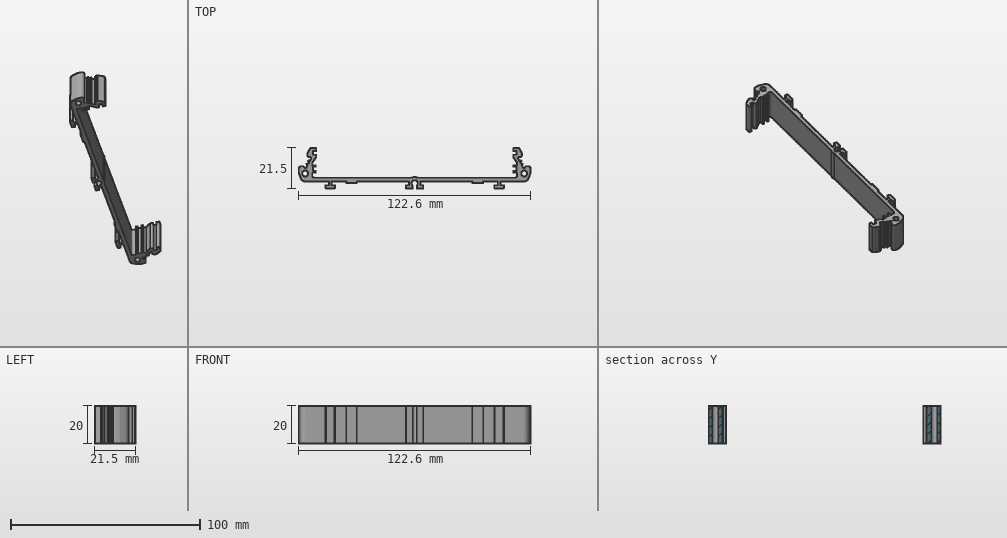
import cadquery as cq
import math

width = 122.6
depth = 21.5
length = 20.0
half_width = width / 2

web_bottom = 3.6
web_thickness = 2.2
web_top = web_bottom + web_thickness
inner_fillet = 1.0

flange_thickness = 1.75
side_rail_x = 44.6
side_rail_stem = 1.5
side_rail_flange = 5.2
side_rail_chamfer = 0.4

channel_stem = 6.2
channel_flange = 9.2
channel_chamfer = 0.2
channel_diameter = 3.2
channel_y = 2.75
channel_mouth = 2.2
crown_height = 0.35
crown_width = 2.8

pad_x = 33.3
pad_width = 5.6
pad_height = 0.7

screw_hole_diameter = 3.0
screw_hole_x = 3.45
screw_hole_y = 7.95

lean_angle = math.radians(24)
lean_bend_radius = 1.75
lean_bend_top = 8.6
corner_radius = 2.9
corner_x = 3.75

neck_x = 7.25
slot_floor_x = 7.6
finger_tip_x = 9.15
finger_thickness = 1.0
finger_bottoms = (8.4, 11.4)
neck_top = 13.6
hook_tip_x = 9.3
hook_round = 0.5
hook_underside = 16.5
hook_slot_bottom = 17.9
hook_slot_top = 19.8

hook_back = [(6.4, depth), (5.75, 20.8), (4.5, 18.4), (4.5, 17.5)]
outer_notch = [(5.1, 16.7), (5.3, 16.4), (5.9, 16.7), (6.75, 16.2), (5.9, 14.6), (5.3, 14.9)]
upper_ridge = [(4.75, 14.3), (5.4, 13.7)]
lower_ridge = [(4.9, 13.0), (4.1, 13.1), (4.5, 12.3)]
lug_valley = [(4.1, 11.1), (3.5, 10.8)]
lug_crest_x = 2.3
lug_top = 11.9
lug_radius = 1.5


def block(x_min, x_max, y_min, y_max):
    """Rectangular bar running the full length of the extrusion."""
    return (
        cq.Workplane("XY")
        .center((x_min + x_max) / 2, (y_min + y_max) / 2)
        .rect(x_max - x_min, y_max - y_min)
        .extrude(length)
    )


def cylinder(x, y, diameter):
    """Round bar running the full length of the extrusion."""
    return cq.Workplane("XY").center(x, y).circle(diameter / 2).extrude(length)


def make_web():
    """Flat web that joins the two end arms."""
    end = half_width - corner_x
    return block(-end, end, web_bottom, web_top)


def make_rail(x, stem_width, flange_width, chamfer):
    """T-shaped rail with chamfered lower flange edges."""
    flange = block(x - flange_width / 2, x + flange_width / 2, 0, flange_thickness)
    flange = flange.faces("<Y").edges("|Z").chamfer(chamfer)
    stem = block(x - stem_width / 2, x + stem_width / 2, flange_thickness / 2, web_top)
    return flange.union(stem)


def make_pad(x):
    """Shallow raised strip on the underside of the web."""
    return block(x - pad_width / 2, x + pad_width / 2, web_bottom - pad_height, web_top)


def make_crown():
    """Low arched thickening of the web above the screw channel."""
    return (
        cq.Workplane("XY")
        .moveTo(-crown_width / 2, web_top)
        .threePointArc((0, web_top + crown_height), (crown_width / 2, web_top))
        .lineTo(crown_width / 2, channel_y)
        .lineTo(-crown_width / 2, channel_y)
        .close()
        .extrude(length)
    )


def arc_point(center_x, center_y, radius, angle):
    """Point on a circle at the given angle in radians."""
    return (center_x + radius * math.cos(angle), center_y + radius * math.sin(angle))


def round_corner(profile, center, radius, start, end):
    """Continue a profile to a circle and along it between two angles."""
    first, middle, last = (arc_point(*center, radius, angle) for angle in (start, (start + end) / 2, end))
    return profile.lineTo(*first).threePointArc(middle, last)


def line_through(profile, points):
    """Continue a profile with straight lines through the points."""
    for point in points:
        profile = profile.lineTo(*point)
    return profile


def make_left_arm():
    """Hooked end arm with slots inside, ridges outside and a screw hole in its lug."""
    quarter = math.pi / 2
    profile = cq.Workplane("XY").moveTo(0, lean_bend_top)

    bend_center = (lean_bend_radius, lean_bend_top)
    profile = profile.threePointArc(
        arc_point(*bend_center, lean_bend_radius, math.pi + lean_angle / 2),
        arc_point(*bend_center, lean_bend_radius, math.pi + lean_angle),
    )
    corner_center = (corner_x, web_bottom + corner_radius)
    profile = round_corner(profile, corner_center, corner_radius, math.pi + lean_angle, 3 * quarter)

    fillet_center = (neck_x + inner_fillet, web_top + inner_fillet)
    profile = profile.lineTo(fillet_center[0], web_bottom)
    profile = round_corner(profile, fillet_center, inner_fillet, 3 * quarter, math.pi)

    lower_bottom, upper_bottom = finger_bottoms
    lower_top = lower_bottom + finger_thickness
    upper_top = upper_bottom + finger_thickness
    neck_step = slot_floor_x - neck_x
    profile = line_through(
        profile,
        [
            (neck_x, lower_bottom - neck_step),
            (slot_floor_x, lower_bottom),
            (finger_tip_x, lower_bottom),
            (finger_tip_x, lower_top),
            (slot_floor_x, lower_top),
            (slot_floor_x, upper_bottom),
            (finger_tip_x, upper_bottom),
            (finger_tip_x, upper_top),
            (neck_x, upper_top),
        ],
    )

    round_x = hook_tip_x - hook_round
    profile = line_through(profile, [(neck_x, neck_top), (hook_tip_x, hook_underside)])
    profile = round_corner(profile, (round_x, hook_slot_bottom - hook_round), hook_round, 0, quarter)
    profile = line_through(
        profile,
        [(slot_floor_x, hook_slot_bottom), (slot_floor_x, hook_slot_top), (hook_tip_x, hook_slot_top)],
    )
    profile = round_corner(profile, (round_x, depth - hook_round), hook_round, 0, quarter)

    for stretch in (hook_back, outer_notch, upper_ridge, lower_ridge, lug_valley):
        profile = line_through(profile, stretch)
    profile = profile.lineTo(lug_crest_x, lug_top)
    profile = round_corner(profile, (lug_radius, lug_top - lug_radius), lug_radius, quarter, math.pi)

    arm = profile.close().extrude(length)
    arm = arm.cut(cylinder(screw_hole_x, screw_hole_y, screw_hole_diameter))
    return arm.translate((-half_width, 0, 0))


def make_channel_void():
    """Round screw channel with its narrow mouth."""
    mouth = block(-channel_mouth / 2, channel_mouth / 2, 0, channel_y)
    return cylinder(0, channel_y, channel_diameter).union(mouth)


left_arm = make_left_arm()
result = make_web().union(left_arm).union(left_arm.mirror("YZ"))
for side in (-1, 1):
    rail = make_rail(side * side_rail_x, side_rail_stem, side_rail_flange, side_rail_chamfer)
    result = result.union(rail)
    result = result.union(make_pad(side * pad_x))
result = result.union(make_rail(0, channel_stem, channel_flange, channel_chamfer))
result = result.union(make_crown())
result = result.cut(make_channel_void())